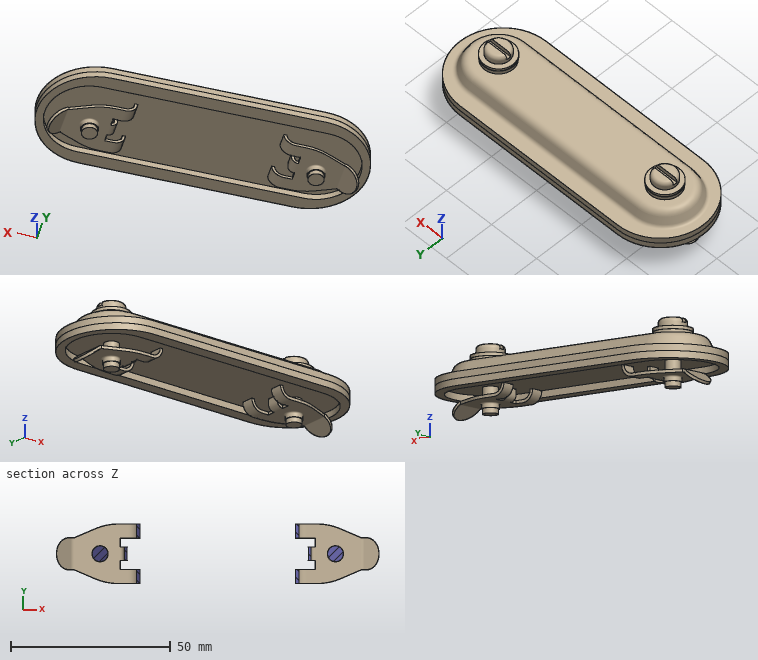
import cadquery as cq
import math

length = 108.0
width = 38.1
gasket_thickness = 2.3
flange_thickness = 2.3

screw_offset = 36.9
dome_foot_radius = 14.5
dome_height = 5.3
dome_taper = 26.0
dome_top_fillet = 3.2
dome_foot_fillet = 1.6

seal_diameter = 12.4
seal_thickness = 1.5
washer_diameter = 12.7
washer_thickness = 1.1

shank_diameter = 5.1
shank_end_z = -6.3
head_diameter = 9.3
head_height = 3.2
head_top_fillet = 1.5
head_bottom_fillet = 0.5
driver_slot_width = 1.6
driver_slot_depth = 1.6

clip_gap = 1.9
clip_thickness = 1.0
clip_half_width = 9.4
shoulder_x = 5.8
shoulder_radius = 18.8
shoulder_angle = 23.4
tongue_x = -8.1
tongue_half_width = 5.1
tongue_angle = 38.0
tongue_bend_radius = 0.5
prong_x = 9.1
prong_inner_y = 4.9
prong_bend_radius = 3.0
tab_x = 6.4
tab_width = 4.3
tab_bend_radius = 1.2
collar_diameter = 5.6
collar_height = 1.6
collar_fillet = 0.5
overall_height = 22.3

flange_z = gasket_thickness
dome_z = flange_z + flange_thickness
seal_z = dome_z + dome_height
washer_z = seal_z + seal_thickness
head_z = washer_z + washer_thickness
head_top_z = head_z + head_height
clip_top_z = -clip_gap
clip_bottom_z = clip_top_z - clip_thickness
clip_tip_z = head_top_z - overall_height


def stadium(z, straight, radius):
    """Stadium outline centred on the Z axis at height z."""
    return cq.Workplane("XY", origin=(0, 0, z)).slot2D(straight + 2 * radius, 2 * radius)


def ring(z, thickness, diameter):
    """Flat ring that fits the screw shank, lying on height z."""
    return (
        cq.Workplane("XY", origin=(0, 0, z))
        .circle(diameter / 2)
        .circle(shank_diameter / 2)
        .extrude(thickness)
    )


def make_seal():
    """Sealing ring on the dome top."""
    return ring(seal_z, seal_thickness, seal_diameter)


def make_washer():
    """Washer between the sealing ring and the screw head."""
    return ring(washer_z, washer_thickness, washer_diameter)


def make_gasket():
    """Flat ring covering the flange land around the dome."""
    opening = stadium(0, 2 * screw_offset, dome_foot_radius).extrude(gasket_thickness)
    return stadium(0, length - width, width / 2).extrude(gasket_thickness).cut(opening)


def make_cover():
    """Flange with a tapered, filleted dome and two screw holes."""
    flange = stadium(flange_z, length - width, width / 2).extrude(flange_thickness)
    fillet_run = dome_foot_fillet * math.tan(math.radians(90 - dome_taper) / 2)
    foot_radius = dome_foot_radius - fillet_run
    dome = stadium(dome_z, 2 * screw_offset, foot_radius).extrude(dome_height, taper=dome_taper)
    dome = dome.faces(">Z").edges().fillet(dome_top_fillet)
    cover = flange.union(dome)
    foot_edges = cq.selectors.BoxSelector(
        (-screw_offset - dome_foot_radius, -dome_foot_radius, dome_z - flange_thickness / 2),
        (screw_offset + dome_foot_radius, dome_foot_radius, dome_z + dome_foot_fillet / 2),
        boundingbox=True,
    )
    cover = cover.edges(foot_edges).fillet(dome_foot_fillet)
    holes = (
        cq.Workplane("XY", origin=(0, 0, flange_z))
        .pushPoints([(-screw_offset, 0), (screw_offset, 0)])
        .circle(shank_diameter / 2)
        .extrude(seal_z - flange_z)
    )
    return cover.cut(holes)


def make_screw():
    """Round-edged slotted head on a plain shank, standing on the Z axis."""
    head = cq.Workplane("XY", origin=(0, 0, head_z)).circle(head_diameter / 2).extrude(head_height)
    head = head.faces(">Z").edges().fillet(head_top_fillet)
    head = head.faces("<Z").edges().fillet(head_bottom_fillet)
    driver_slot = (
        cq.Workplane("XY", origin=(0, 0, head_top_z - driver_slot_depth))
        .rect(2 * head_diameter, driver_slot_width)
        .extrude(driver_slot_depth)
    )
    shank = (
        cq.Workplane("XY", origin=(0, 0, shank_end_z))
        .circle(shank_diameter / 2)
        .extrude(head_z - shank_end_z)
    )
    return head.cut(driver_slot).union(shank)


def make_bend(x, y, z, strip_width, inner_radius, angle):
    """Strip curling up towards +X from (x, z), z being the plate's upper side; centred on y."""
    turn = math.radians(angle)
    outer_radius = inner_radius + clip_thickness

    def on_arc(radius, a):
        return (x + radius * math.sin(a), z + inner_radius - radius * math.cos(a))

    return (
        cq.Workplane("XZ", origin=(0, y + strip_width / 2, 0))
        .moveTo(*on_arc(inner_radius, 0))
        .threePointArc(on_arc(inner_radius, turn / 2), on_arc(inner_radius, turn))
        .lineTo(*on_arc(outer_radius, turn))
        .threePointArc(on_arc(outer_radius, turn / 2), on_arc(outer_radius, 0))
        .close()
        .extrude(strip_width)
    )


def make_clip_plate():
    """Flat part of the clip, widening from the tongue to the prongs."""
    slant = math.radians(shoulder_angle)

    def on_shoulder(a):
        drop = shoulder_radius * (1 - math.cos(a))
        return (shoulder_x - shoulder_radius * math.sin(a), clip_half_width - drop)

    half = (
        cq.Workplane("XY", origin=(0, 0, clip_bottom_z))
        .moveTo(tongue_x, 0)
        .lineTo(tongue_x, tongue_half_width)
        .lineTo(*on_shoulder(slant))
        .threePointArc(on_shoulder(slant / 2), (shoulder_x, clip_half_width))
        .lineTo(prong_x, clip_half_width)
        .lineTo(prong_x, prong_inner_y)
        .lineTo(tab_x, prong_inner_y)
        .lineTo(tab_x, 0)
        .close()
        .extrude(clip_thickness)
    )
    return half.union(half.mirror("XZ"))


def make_tongue():
    """Round-ended tongue bent down and outwards."""
    turn = math.radians(tongue_angle)
    bend = make_bend(0, 0, 0, 2 * tongue_half_width, tongue_bend_radius, tongue_angle)
    bend = bend.rotate((0, 0, 0), (0, 1, 0), 180).translate((tongue_x, 0, clip_bottom_z))
    outer_radius = tongue_bend_radius + clip_thickness
    start_x = tongue_x - outer_radius * math.sin(turn)
    start_z = clip_top_z - outer_radius * (1 - math.cos(turn))
    leg_length = (start_z - clip_thickness * math.cos(turn) - clip_tip_z) / math.sin(turn)
    straight = leg_length - tongue_half_width
    leg_plane = cq.Plane(
        origin=(start_x, 0, start_z),
        xDir=(-math.cos(turn), 0, -math.sin(turn)),
        normal=(-math.sin(turn), 0, math.cos(turn)),
    )
    leg = (
        cq.Workplane(leg_plane)
        .moveTo(0, -tongue_half_width)
        .lineTo(straight, -tongue_half_width)
        .threePointArc((leg_length, 0), (straight, tongue_half_width))
        .lineTo(0, tongue_half_width)
        .close()
        .extrude(-clip_thickness)
    )
    return bend.union(leg)


def make_collar():
    """Sleeve under the clip plate that flares into it with a concave fillet."""
    radius = collar_diameter / 2
    flare_middle = collar_fillet * (1 - math.sqrt(0.5))
    return (
        cq.Workplane("XZ")
        .moveTo(shank_diameter / 2, clip_bottom_z)
        .lineTo(radius + collar_fillet, clip_bottom_z)
        .threePointArc(
            (radius + flare_middle, clip_bottom_z - flare_middle),
            (radius, clip_bottom_z - collar_fillet),
        )
        .lineTo(radius, clip_bottom_z - collar_height)
        .lineTo(shank_diameter / 2, clip_bottom_z - collar_height)
        .close()
        .revolve(360, (0, 0, 0), (0, 1, 0))
    )


def make_clip():
    """Spring clip for the -X screw, with its screw hole on the Z axis."""
    clip = make_clip_plate().union(make_tongue())

    prong_width = clip_half_width - prong_inner_y
    for side in (-1, 1):
        prong_y = side * (prong_inner_y + prong_width / 2)
        clip = clip.union(make_bend(prong_x, prong_y, clip_top_z, prong_width, prong_bend_radius, 90))

    tab_leg = prong_bend_radius - tab_bend_radius
    tab = make_bend(tab_x, 0, clip_top_z, tab_width, tab_bend_radius, 90)
    tab_rise = (
        cq.Workplane("XY", origin=(tab_x + tab_bend_radius, 0, clip_top_z + tab_bend_radius))
        .box(clip_thickness, tab_width, tab_leg, centered=(False, True, False))
    )
    clip = clip.union(tab).union(tab_rise)

    screw_hole = (
        cq.Workplane("XY", origin=(0, 0, clip_bottom_z))
        .circle(shank_diameter / 2)
        .extrude(clip_thickness)
    )
    return clip.cut(screw_hole).union(make_collar())


gasket = make_gasket()
cover = make_cover()
solids = [gasket.solids().val(), cover.solids().val()]

for turn_about_z in (0, 180):
    for make_body in (make_screw, make_washer, make_seal, make_clip):
        body = make_body().translate((-screw_offset, 0, 0))
        body = body.rotate((0, 0, 0), (0, 0, 1), turn_about_z)
        solids.append(body.solids().val())

result = cq.Compound.makeCompound(solids)